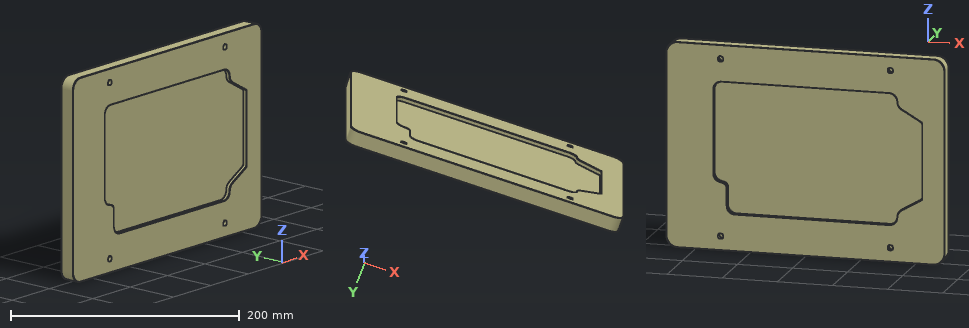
import cadquery as cq
import math

plate_width = 252.58
plate_thickness = 13.82
plate_height = 185.55
plate_corner_radius = 10.0
front_y = -plate_thickness / 2

edge_chamfer = 0.4

hole_diameter = 4.98
hole_depth = 5.0
hole_spacing_x = 154.1
hole_spacing_z = 160.0

pocket_depth = 4.0
pocket_left = -83.4
pocket_body_right = 83.2
pocket_half_height = 59.35
pocket_corner_radius = 7.5

nose_right = 105.7
nose_half_height = 34.6
nose_taper_angle = 30.0
nose_tip_radius = 1.5
nose_root_radius = 7.5
nose_length = nose_right - pocket_body_right
nose_root_half_height = nose_half_height + nose_length * math.tan(math.radians(nose_taper_angle))

step_right = -71.2
step_left_z = -29.3
step_slope_angle = 15.0
step_inner_radius = 4.7
step_width = step_right - pocket_left
step_right_z = step_left_z - step_width * math.tan(math.radians(step_slope_angle))


def make_plate():
    plate = cq.Workplane("XY").box(plate_width, plate_thickness, plate_height)
    return plate.edges("|Y").fillet(plate_corner_radius)


def round_corners(solid, corners, radius):
    """Fillet the Y-parallel edges of the solid that stand at the given (x, z) corners."""
    for x, z in corners:
        edge = cq.selectors.NearestToPointSelector((x, front_y + pocket_depth / 2, z))
        solid = solid.edges("|Y").edges(edge).fillet(radius)
    return solid


def make_pocket():
    left_step_corner = (pocket_left, step_left_z)
    top_left = (pocket_left, pocket_half_height)
    top_right = (pocket_body_right, pocket_half_height)
    nose_root_top = (pocket_body_right, nose_root_half_height)
    nose_tip_top = (nose_right, nose_half_height)
    nose_tip_bottom = (nose_right, -nose_half_height)
    nose_root_bottom = (pocket_body_right, -nose_root_half_height)
    bottom_right = (pocket_body_right, -pocket_half_height)
    bottom_left = (step_right, -pocket_half_height)
    inner_step_corner = (step_right, step_right_z)
    outline = [
        left_step_corner,
        top_left,
        top_right,
        nose_root_top,
        nose_tip_top,
        nose_tip_bottom,
        nose_root_bottom,
        bottom_right,
        bottom_left,
        inner_step_corner,
    ]
    pocket = (
        cq.Workplane("XZ", origin=(0, front_y, 0))
        .polyline(outline)
        .close()
        .extrude(-pocket_depth)
    )
    main_corners = [left_step_corner, top_left, top_right, bottom_right, bottom_left]
    pocket = round_corners(pocket, main_corners, pocket_corner_radius)
    pocket = round_corners(pocket, [nose_tip_top, nose_tip_bottom], nose_tip_radius)
    pocket = round_corners(pocket, [nose_root_top, nose_root_bottom], nose_root_radius)
    return round_corners(pocket, [inner_step_corner], step_inner_radius)


def make_holes():
    return (
        cq.Workplane("XZ", origin=(0, front_y, 0))
        .rect(hole_spacing_x, hole_spacing_z, forConstruction=True)
        .vertices()
        .circle(hole_diameter / 2)
        .extrude(-hole_depth)
    )


pocketed_plate = make_plate().cut(make_pocket())
chamfered_plate = pocketed_plate.faces("<Y or >Y").chamfer(edge_chamfer)
result = chamfered_plate.cut(make_holes())